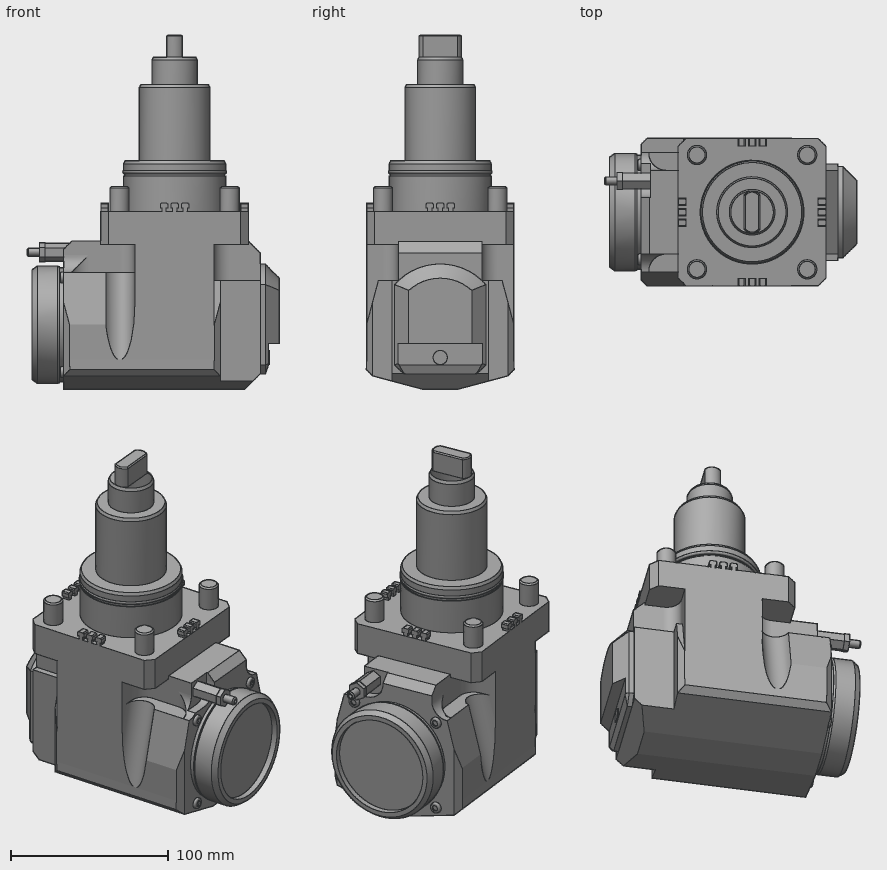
import cadquery as cq
import math


PILOT_STEP = (32.5, 0, 32.2, 2)
SHAFT_STEP = (22.5, 32.2, 80.6, 2)
NECK_STEP = (14.5, 80.6, 98, 2)
CHAMFER_SLOPE = 0.5
GROOVE_BOTTOM = 22.4
GROOVE_TOP = 26
GROOVE_RADIUS = 31.8
SEAL_Z = 25
SEAL_RADIUS = 1.2
SEAL_BULGE = 0.5
TANG_WIDTH = 10
TANG_LENGTH = 27
TANG_TOP = 112
TANG_FLAT = 21.8
TANG_CHAMFER = 0.8

PLATE_LENGTH = 94
WALL_HALF = 46.8
PLATE_THICKNESS = 21
PLATE_CORNER = 5
SCREW_X = 35
SCREW_Y = 36.3
SCREW_RADIUS = 6.1
SCREW_HEIGHT = 15.8
SCREW_CHAMFER = 1
MARK_PITCH = 6.7
MARK_HEAD = 4.8
MARK_NECK = 2.8
MARK_CORNER = 0.7
MARK_HEIGHT = 5.3
MARK_NECK_HEIGHT = 2
MARK_DEPTH = 4.8

SPINDLE_Z = -72
HOUSING_BOTTOM = -113
HOUSING_FRONT = -70.5
HOUSING_BACK = 54.5
SHOULDER_BACK = 29
BASE_FLAT_HALF = 11.2
BASE_EDGE_HALF = 43
BASE_EDGE_Z = -104.5
FOOT_HALF = 47
FOOT_Z = -100.4
FOOT_TOP = -94.3
EDGE_CHAMFER = 4
BASE_BACK_CHAMFER = 10

RIDGE_HALF = 26.6
RIDGE_TOP = -18.8
RIDGE_FRONT_CHAMFER = 5.3
RIDGE_BACK_CHAMFER = 7.7
POCKET_RADIUS = 9.7
POCKET_X = 34.8
POCKET_Y = RIDGE_HALF + POCKET_RADIUS
FRONT_LEDGE_Z = -38.9
BACK_LEDGE_Z = -44
BACK_HALF = 30.7
FRONT_COVE = 11
FRONT_COVE_END = -54.6
DRAFT_ANGLE = 15
SCALLOP_EXIT_Z = -56.8

NOSE_FRONT = -90.6
NOSE_RADIUS = 37.4
NOSE_RIM_RADIUS = 34.9
NOSE_CHAMFER = 3.5
NOSE_BACK = -73.2
NOSE_BACK_CHAMFER = (1.3, 0.5)
NOSE_COLLAR_RADIUS = 36.3
NOSE_BORE_RADIUS = 31.8
NOSE_BORE_DEPTH = 4
BOLT_OFFSET = 30
BOLT_RADIUS = 3.6
BOLT_FILLET = 1
BOLT_HEIGHT = 2
BOLT_SOCKET_RADIUS = 1.9
BOLT_SOCKET_DEPTH = 1

NOZZLE_Y = 19.8
NOZZLE_Z = -26
NOZZLE_FLATS = 10
NOZZLE_FRONT = -85.8
NOZZLE_COLLAR = 3.4
NOZZLE_COLLAR_FLATS = 10.6
NOZZLE_TIP = -93.7
NOZZLE_TIP_RADIUS = 2.6
NOZZLE_TIP_CHAMFER = 0.8
NOZZLE_BORE_RADIUS = 1.2
NOZZLE_BORE_DEPTH = 3
SPOTFACE_RADIUS = 12
SPOTFACE_Y = 21.3
SPOTFACE_Z = -24.6
SPOTFACE_DEPTH = 6

COVER_RADIUS = 38.6
COVER_HALF = 29
COVER_BASE = 57.6
COVER_BACK = 66.6
COVER_STEP_Z = -84
COVER_BOTTOM = -103.3
COVER_PAD_BACK = 59.7
COVER_PAD_BOTTOM = -97.5
COVER_BUTTON_RADIUS = 4.5
COVER_BUTTON_Z = -92.8
COVER_BUTTON_BACK = 60.4

MARGIN = 5


def box(x0, x1, y0, y1, z0, z1):
    size = (x1 - x0, y1 - y0, z1 - z0)
    return cq.Workplane("XY").box(*size, centered=False).translate((x0, y0, z0))


def upright(radius, x, y, z0, z1):
    return cq.Workplane("XY", origin=(x, y, z0)).circle(radius).extrude(z1 - z0)


def along_x(radius, x0, x1, y, z):
    return cq.Workplane("YZ", origin=(x0, y, z)).circle(radius).extrude(x1 - x0)


def both_sides(shape):
    """A shape on the -Y side together with its mirror image on the +Y side."""
    return shape.union(shape.mirror("XZ"))


def shank():
    body = None
    for radius, bottom, top, chamfer in (PILOT_STEP, SHAFT_STEP, NECK_STEP):
        step = upright(radius, 0, 0, bottom, top).faces(">Z").chamfer(chamfer, chamfer * CHAMFER_SLOPE)
        body = step if body is None else body.union(step)
    seal_centre = PILOT_STEP[0] + SEAL_BULGE - SEAL_RADIUS
    seal = cq.Workplane("XZ").center(seal_centre, SEAL_Z).circle(SEAL_RADIUS)
    seal = seal.revolve(360, (-seal_centre, 0), (-seal_centre, 1))
    groove = upright(PILOT_STEP[0], 0, 0, GROOVE_BOTTOM, GROOVE_TOP)
    groove = groove.cut(upright(GROOVE_RADIUS, 0, 0, GROOVE_BOTTOM, GROOVE_TOP))
    return body.cut(groove).union(seal)


def tang():
    """Flat driving tang with slightly rounded narrow ends."""
    bottom = NECK_STEP[2]
    half_width = TANG_WIDTH / 2
    half_flat = TANG_FLAT / 2
    half_length = TANG_LENGTH / 2
    body = cq.Workplane("XY", origin=(0, 0, bottom)).moveTo(-half_width, -half_flat)
    body = body.threePointArc((0, -half_length), (half_width, -half_flat)).lineTo(half_width, half_flat)
    body = body.threePointArc((0, half_length), (-half_width, half_flat)).close().extrude(TANG_TOP - bottom)
    return body.faces(">Z").chamfer(TANG_CHAMFER)


def edge_mark():
    """One mushroom-shaped key standing on the -Y edge of the plate."""
    head, neck = MARK_HEAD / 2, MARK_NECK / 2
    outline = [
        (neck, 0),
        (neck, MARK_NECK_HEIGHT),
        (head, MARK_NECK_HEIGHT),
        (head, MARK_HEIGHT - MARK_CORNER),
        (head - MARK_CORNER, MARK_HEIGHT),
    ]
    outline += [(-x, z) for x, z in reversed(outline)]
    mark = cq.Workplane("XZ", origin=(0, MARK_DEPTH - WALL_HALF, 0))
    return mark.polyline(outline).close().extrude(MARK_DEPTH)


def plate():
    body = box(-PLATE_LENGTH / 2, PLATE_LENGTH / 2, -WALL_HALF, WALL_HALF, -PLATE_THICKNESS, 0)
    body = body.edges("|Z").chamfer(PLATE_CORNER)
    for x in (-SCREW_X, SCREW_X):
        for y in (-SCREW_Y, SCREW_Y):
            screw = upright(SCREW_RADIUS, x, y, 0, SCREW_HEIGHT).faces(">Z").chamfer(SCREW_CHAMFER)
            body = body.union(screw)
    for angle in (0, 90, 180, 270):
        for place in (-MARK_PITCH, 0, MARK_PITCH):
            mark = edge_mark().translate((place, 0, 0)).rotate((0, 0, 0), (0, 0, 1), angle)
            body = body.union(mark)
    return body


def housing_block():
    """Lower housing: constant section, narrowed behind the shoulder."""
    half_section = [
        (BASE_FLAT_HALF, HOUSING_BOTTOM),
        (BASE_EDGE_HALF, BASE_EDGE_Z),
        (FOOT_HALF, FOOT_Z),
        (WALL_HALF, FOOT_TOP),
        (WALL_HALF, -PLATE_THICKNESS),
    ]
    section = half_section + [(-y, z) for y, z in reversed(half_section)]
    block = cq.Workplane("YZ", origin=(HOUSING_FRONT, 0, 0)).polyline(section).close()
    block = block.extrude(HOUSING_BACK - HOUSING_FRONT)
    wide = box(HOUSING_FRONT, SHOULDER_BACK, -FOOT_HALF, FOOT_HALF, HOUSING_BOTTOM, 0)
    wide = wide.edges("|Z").chamfer(EDGE_CHAMFER)
    narrow = box(0, HOUSING_BACK, -BACK_HALF, BACK_HALF, HOUSING_BOTTOM, 0)
    return block.intersect(wide.union(narrow))


def ridge():
    return box(HOUSING_FRONT, HOUSING_BACK, -RIDGE_HALF, RIDGE_HALF, BACK_LEDGE_Z, RIDGE_TOP)


def side_envelope():
    """Side outline of the whole housing, with its chamfered corners, as a slab across Y."""
    outline = [
        (HOUSING_FRONT, HOUSING_BOTTOM),
        (HOUSING_FRONT, RIDGE_TOP - RIDGE_FRONT_CHAMFER),
        (HOUSING_FRONT + RIDGE_FRONT_CHAMFER, RIDGE_TOP),
        (HOUSING_BACK - RIDGE_BACK_CHAMFER, RIDGE_TOP),
        (HOUSING_BACK, RIDGE_TOP - RIDGE_BACK_CHAMFER),
        (HOUSING_BACK, HOUSING_BOTTOM + BASE_BACK_CHAMFER),
        (HOUSING_BACK - BASE_BACK_CHAMFER, HOUSING_BOTTOM),
    ]
    return cq.Workplane("XZ").polyline(outline).close().extrude(FOOT_HALF, both=True)


def pocket(direction, end_x, ledge_z):
    """Room for a flange screw on the -Y side, open outwards and towards the end of the housing."""
    centre_x = direction * POCKET_X
    inner_x = centre_x - direction * POCKET_RADIUS
    top = -PLATE_THICKNESS
    outer = -FOOT_HALF - MARGIN
    channel = box(*sorted((centre_x, end_x)), outer, -RIDGE_HALF, ledge_z, top)
    mouth = box(*sorted((inner_x, end_x)), outer, -POCKET_Y, ledge_z, top)
    return channel.union(mouth).union(upright(POCKET_RADIUS, centre_x, -POCKET_Y, ledge_z, top))


def cove(x0, x1, radius, ledge_z):
    """Concave fillet between the ridge wall and a ledge on the -Y side."""
    block = box(x0, x1, -RIDGE_HALF - radius, -RIDGE_HALF, ledge_z, ledge_z + radius)
    return block.cut(along_x(radius, x0, x1, -RIDGE_HALF - radius, ledge_z + radius))


def draft_cut(x0, x1):
    """Wedge that leans the -Y wall inwards above the spindle axis."""
    rise = RIDGE_TOP - SPINDLE_Z
    lean = rise * math.tan(math.radians(DRAFT_ANGLE))
    outer = -FOOT_HALF - MARGIN
    outline = [
        (-WALL_HALF, SPINDLE_Z),
        (lean - WALL_HALF, RIDGE_TOP),
        (outer, RIDGE_TOP),
        (outer, SPINDLE_Z),
    ]
    wedge = cq.Workplane("YZ", origin=(x0, 0, 0)).polyline(outline).close().extrude(x1 - x0)
    return wedge.intersect(box(x0, x1, outer, -BACK_HALF, SPINDLE_Z, FRONT_LEDGE_Z))


def scallop():
    """Leaning round groove below the front pocket, running out of the -Y wall."""
    length = -HOUSING_BOTTOM
    tool = cq.Workplane("XY").circle(POCKET_RADIUS).extrude(2 * length).translate((0, 0, -length))
    tool = tool.union(box(-POCKET_RADIUS, POCKET_RADIUS, -WALL_HALF, 0, -length, length))
    tool = tool.rotate((0, 0, 0), (1, 0, 0), -DRAFT_ANGLE).translate((-POCKET_X, -WALL_HALF, SCALLOP_EXIT_Z))
    reach = POCKET_X + POCKET_RADIUS + MARGIN
    return tool.intersect(box(-reach, 0, -2 * FOOT_HALF, 0, HOUSING_BOTTOM, FRONT_LEDGE_Z))


def housing():
    front_pocket = pocket(-1, HOUSING_FRONT, FRONT_LEDGE_Z)
    back_pocket = pocket(1, HOUSING_BACK, BACK_LEDGE_Z)
    pocket_inner = POCKET_X - POCKET_RADIUS
    body = housing_block()
    body = body.cut(both_sides(front_pocket)).cut(both_sides(back_pocket))
    body = body.cut(both_sides(draft_cut(HOUSING_FRONT, -POCKET_X)))
    body = body.cut(both_sides(draft_cut(pocket_inner, HOUSING_BACK)))
    body = body.cut(both_sides(scallop()))
    mill = upright(FRONT_COVE, FRONT_COVE_END, -RIDGE_HALF - FRONT_COVE, FRONT_LEDGE_Z, RIDGE_TOP)
    front_cove = cove(HOUSING_FRONT, FRONT_COVE_END, FRONT_COVE, FRONT_LEDGE_Z).cut(mill)
    body = body.union(ridge()).union(both_sides(front_cove))
    return body.intersect(side_envelope())


def nozzle_spotface():
    """Recess around the nozzle, open upwards and towards +Y."""
    back = HOUSING_FRONT + SPOTFACE_DEPTH
    inner_y = SPOTFACE_Y - SPOTFACE_RADIUS
    cut = along_x(SPOTFACE_RADIUS, HOUSING_FRONT, back, SPOTFACE_Y, SPOTFACE_Z)
    cut = cut.union(box(HOUSING_FRONT, back, inner_y, FOOT_HALF, SPOTFACE_Z, RIDGE_TOP))
    return cut.union(box(HOUSING_FRONT, back, SPOTFACE_Y, FOOT_HALF, SPOTFACE_Z - SPOTFACE_RADIUS, RIDGE_TOP))


def hex_bar(flats, x0, x1):
    corners = flats / math.cos(math.radians(30))
    bar = cq.Workplane("YZ", origin=(x0, 0, 0)).polygon(6, corners).extrude(x1 - x0)
    bar = bar.rotate((0, 0, 0), (1, 0, 0), 90)
    return bar.translate((0, NOZZLE_Y, NOZZLE_Z))


def nozzle():
    seat = HOUSING_FRONT + SPOTFACE_DEPTH
    collar_back = NOZZLE_FRONT + NOZZLE_COLLAR
    body = hex_bar(NOZZLE_FLATS, NOZZLE_FRONT, seat)
    body = body.union(hex_bar(NOZZLE_COLLAR_FLATS, NOZZLE_FRONT, collar_back))
    tip = along_x(NOZZLE_TIP_RADIUS, NOZZLE_TIP, NOZZLE_FRONT, NOZZLE_Y, NOZZLE_Z)
    tip = tip.faces("<X").chamfer(NOZZLE_TIP_CHAMFER)
    bore = along_x(NOZZLE_BORE_RADIUS, NOZZLE_TIP, NOZZLE_TIP + NOZZLE_BORE_DEPTH, NOZZLE_Y, NOZZLE_Z)
    return body.union(tip).cut(bore)


def spindle_nose():
    chamfer_length, chamfer_height = NOSE_BACK_CHAMFER
    profile = [
        (HOUSING_FRONT, 0),
        (HOUSING_FRONT, NOSE_COLLAR_RADIUS),
        (NOSE_BACK, NOSE_COLLAR_RADIUS),
        (NOSE_BACK, NOSE_RADIUS - chamfer_height),
        (NOSE_BACK - chamfer_length, NOSE_RADIUS),
        (NOSE_FRONT + NOSE_CHAMFER, NOSE_RADIUS),
        (NOSE_FRONT, NOSE_RIM_RADIUS),
        (NOSE_FRONT, NOSE_BORE_RADIUS),
        (NOSE_FRONT + NOSE_BORE_DEPTH, NOSE_BORE_RADIUS),
        (NOSE_FRONT + NOSE_BORE_DEPTH, 0),
    ]
    body = cq.Workplane("XZ", origin=(0, 0, SPINDLE_Z)).polyline(profile).close()
    return body.revolve(360, (0, 0), (1, 0))


def nose_bolts():
    bolts = None
    head_x = HOUSING_FRONT - BOLT_HEIGHT
    for y in (-BOLT_OFFSET, BOLT_OFFSET):
        for z in (SPINDLE_Z - BOLT_OFFSET, SPINDLE_Z + BOLT_OFFSET):
            bolt = along_x(BOLT_RADIUS, head_x, HOUSING_FRONT, y, z).faces("<X").edges().fillet(BOLT_FILLET)
            bolt = bolt.cut(along_x(BOLT_SOCKET_RADIUS, head_x, head_x + BOLT_SOCKET_DEPTH, y, z))
            bolts = bolt if bolts is None else bolts.union(bolt)
    return bolts


def rear_cover():
    """Round cover with a conical edge, flattened on both sides, stepped back at the bottom."""
    taper = COVER_BACK - COVER_BASE
    disc = along_x(COVER_RADIUS, HOUSING_BACK, COVER_BACK, 0, SPINDLE_Z).faces(">X").chamfer(taper)
    flats = box(HOUSING_BACK, COVER_BACK, -COVER_HALF, COVER_HALF, COVER_BOTTOM, 0)
    flats = flats.edges(">X and |Z").chamfer(taper)
    below = box(COVER_BASE, COVER_BACK, -COVER_HALF, COVER_HALF, COVER_BOTTOM, COVER_STEP_Z)
    outline = [
        (COVER_BASE, COVER_STEP_Z),
        (COVER_PAD_BACK, COVER_STEP_Z),
        (COVER_PAD_BACK, COVER_PAD_BOTTOM),
        (COVER_BASE, COVER_BOTTOM),
    ]
    shell = disc.intersect(flats)
    pad = cq.Workplane("XZ").polyline(outline).close().extrude(COVER_HALF, both=True).intersect(shell)
    button = along_x(COVER_BUTTON_RADIUS, COVER_BASE, COVER_BUTTON_BACK, 0, COVER_BUTTON_Z)
    return shell.cut(below).union(pad).union(button)


result = plate().union(shank()).union(tang()).union(housing()).cut(nozzle_spotface())
result = result.union(nozzle()).union(spindle_nose()).union(nose_bolts()).union(rear_cover())